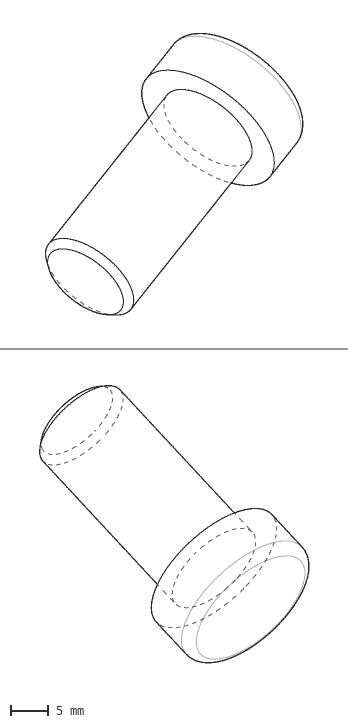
import cadquery as cq

total_length = 38
head_diameter = 21.0
head_height = 8.0
head_edge_radius = 1.4
shank_diameter = 14.0
tip_chamfer = 1.0

shank_length = total_length - head_height


def make_shank():
    """Shank from the chamfered tip at -Y up to the bearing face of the head at Y = 0."""
    shank = cq.Workplane("XZ").circle(shank_diameter / 2).extrude(shank_length)
    return shank.faces("<Y").chamfer(tip_chamfer)


def make_head():
    """Head on the +Y side, with its outer end edge rounded."""
    head = cq.Workplane("XZ").circle(head_diameter / 2).extrude(-head_height)
    return head.faces(">Y").edges().fillet(head_edge_radius)


result = make_head().union(make_shank())